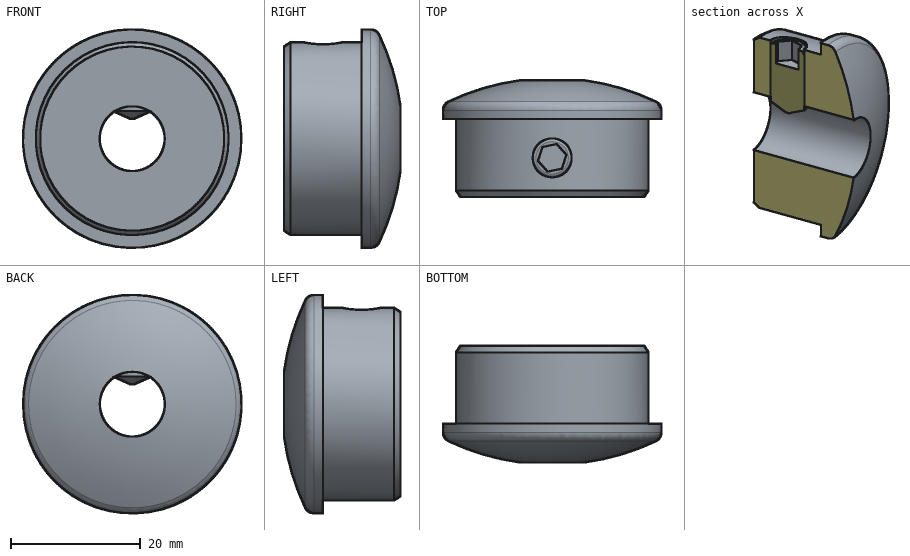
import cadquery as cq
import math

length = 18.0
flange_radius = 16.85
barrel_radius = 14.85
barrel_length = 12.0
bore_radius = 5.0
chamfer_axial = 1.0
chamfer_radial = 0.67
dome_radius = 37.15
rim_fillet = 1.5

screw_y = 6.03
screw_radius = 3.0
screw_top_z = 14.52
screw_edge_round = 0.5
cone_base_z = 4.25
tip_z = 3.03
tip_radius = 0.27
socket_corners = 4.48
socket_depth = 3.37
socket_turn = 12.0


def make_housing():
    """Domed, flanged barrel with an axial bore and one radial screw hole."""
    dome_center_y = length - math.sqrt(dome_radius**2 - bore_radius**2)

    def dome_y(radius):
        return dome_center_y + math.sqrt(dome_radius**2 - radius**2)

    middle_radius = (flange_radius + bore_radius) / 2
    body = (
        cq.Workplane("XY")
        .moveTo(bore_radius, 0)
        .lineTo(barrel_radius - chamfer_radial, 0)
        .lineTo(barrel_radius, chamfer_axial)
        .lineTo(barrel_radius, barrel_length)
        .lineTo(flange_radius, barrel_length)
        .lineTo(flange_radius, dome_y(flange_radius))
        .threePointArc((middle_radius, dome_y(middle_radius)), (bore_radius, length))
        .close()
        .revolve(360, (0, 0, 0), (0, 1, 0))
    )
    flange_edges = body.edges(cq.selectors.RadiusNthSelector(-2))
    body = flange_edges.edges(">Y").fillet(rim_fillet)

    screw_hole = cq.Workplane("XY").center(0, screw_y).circle(screw_radius).extrude(flange_radius)
    return body.cut(screw_hole)


def make_set_screw():
    """Cone-point set screw with a rounded top edge and a hexagon socket."""
    screw = (
        cq.Workplane("XZ")
        .moveTo(0, tip_z)
        .lineTo(tip_radius, tip_z)
        .lineTo(screw_radius, cone_base_z)
        .lineTo(screw_radius, screw_top_z)
        .lineTo(0, screw_top_z)
        .close()
        .revolve(360, (0, 0, 0), (0, 1, 0))
        .faces(">Z")
        .edges()
        .fillet(screw_edge_round)
    )
    socket = (
        cq.Workplane("XY")
        .workplane(offset=screw_top_z - socket_depth)
        .polygon(6, socket_corners)
        .extrude(socket_depth)
        .rotate((0, 0, 0), (0, 0, 1), socket_turn)
    )
    return screw.cut(socket).translate((0, screw_y, 0))


housing = make_housing()
set_screw = make_set_screw()
result = cq.Compound.makeCompound([housing.val(), set_screw.val()])